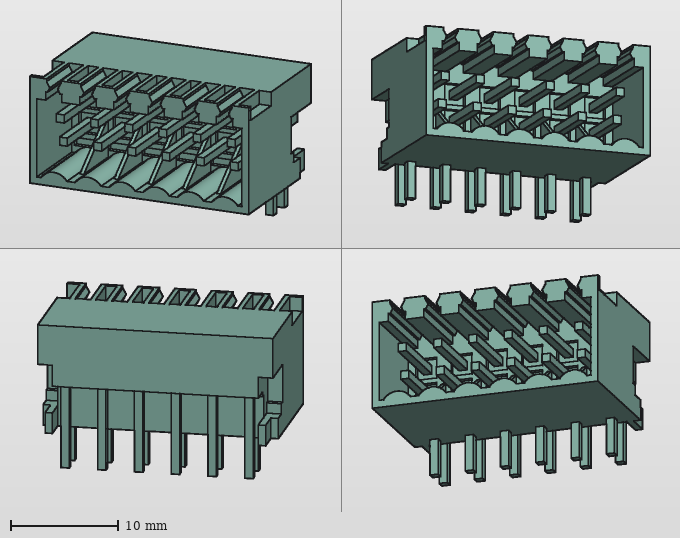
import cadquery as cq


pole_count = 6
pitch = 3.5
housing_length = 22.4
housing_depth = 14.2
housing_height = 10.5
first_pole_x = (housing_length - (pole_count - 1) * pitch) / 2
pole_positions = [first_pole_x + i * pitch for i in range(pole_count)]
gap_positions = [x + pitch / 2 for x in pole_positions[:-1]]

wall = 0.7
cavity_depth = 8.0
cavity_ceiling = housing_height - 2.1

keyway_depth = 5.1
keyway_mouth_half_width = 0.73
keyway_mouth_bottom = housing_height - 0.25
keyway_neck_half_width = 0.4
keyway_neck_z = housing_height - 0.85
keyway_flare_half_width = 0.64
keyway_step_half_width = 0.84
keyway_step_z = housing_height - 1.3

pocket_front = 0.5
pocket_depth = 1.35
pocket_width = 1.05
end_pocket_width = 1.2

bump_width = 2.7
bump_height = 0.7

rib_thickness = 0.4
rib_front = 2.5
rib_top = 4.55

recess_depth = 0.5
pin_recess_size = 2.06
slot_recess_width = 3.0
slot_recess_height = 0.8
slot_recess_bottom = wall + bump_height

rear_underside_z = 4.6
rear_step_y = housing_depth - 2.05
rear_step_z = 4.15
rear_wall_y = housing_depth - 2.5
side_cut_width = 2 * wall
side_cut_top = 6.65
side_cut_front = housing_depth - 4.5
side_cut_step_y = housing_depth - 3.95
side_cut_step_z = 3.0
foot_height = 2.0

pin_width = 0.8
pin_tail_length = 3.5
upper_pin_z = 6.25
lower_pin_z = 3.75
upper_pin_tip_y = 1.5
lower_pin_tip_y = 2.2
upper_tail_y = housing_depth - 1.15
lower_tail_y = upper_tail_y - 2.5


def block(x_range, y_range, z_range):
    """Box spanning the given (low, high) ranges."""
    size = [high - low for low, high in (x_range, y_range, z_range)]
    return cq.Workplane("XY").box(*size, centered=False).translate((x_range[0], y_range[0], z_range[0]))


def around(center, width):
    """Range of the given width centred on a position."""
    return (center - width / 2, center + width / 2)


def mirrored_pair(shape):
    """A shape at the low-X end together with its mirror image at the other end."""
    return shape.union(shape.mirror("YZ", (housing_length / 2, 0, 0)))


def extrude_back(profile, depth):
    """Extrude an XZ profile from the front face towards +Y."""
    return profile.close().extrude(-depth)


def make_shell():
    """Housing outline with its stepped rear underside and the open mating cavity."""
    shell = (
        cq.Workplane("YZ")
        .polyline([
            (0, 0),
            (rear_wall_y, 0),
            (rear_wall_y, rear_step_z),
            (rear_step_y, rear_step_z),
            (rear_step_y, rear_underside_z),
            (housing_depth, rear_underside_z),
            (housing_depth, housing_height),
            (0, housing_height),
        ])
        .close()
        .extrude(housing_length)
    )
    cavity = block((wall, housing_length - wall), (0, cavity_depth), (wall, cavity_ceiling))
    return shell.cut(cavity)


def make_keyway(x):
    """V-shaped roof slot above a deeper, flared slot that opens into the cavity."""
    mouth = cq.Workplane("XZ").polyline([
        (x - keyway_neck_half_width, keyway_neck_z),
        (x - keyway_mouth_half_width, keyway_mouth_bottom),
        (x - keyway_mouth_half_width, housing_height),
        (x + keyway_mouth_half_width, housing_height),
        (x + keyway_mouth_half_width, keyway_mouth_bottom),
        (x + keyway_neck_half_width, keyway_neck_z),
    ])
    flare = cq.Workplane("XZ").polyline([
        (x - keyway_neck_half_width, keyway_neck_z),
        (x - keyway_flare_half_width, keyway_step_z),
        (x - keyway_step_half_width, keyway_step_z),
        (x - keyway_step_half_width, cavity_ceiling),
        (x + keyway_step_half_width, cavity_ceiling),
        (x + keyway_step_half_width, keyway_step_z),
        (x + keyway_flare_half_width, keyway_step_z),
        (x + keyway_neck_half_width, keyway_neck_z),
    ])
    return extrude_back(mouth, keyway_depth).union(extrude_back(flare, cavity_depth))


def make_pockets():
    """Closed roof pockets between the poles and an open one at each end."""
    y_range = (pocket_front, keyway_depth)
    z_range = (housing_height - pocket_depth, housing_height)
    pockets = mirrored_pair(block((0, end_pocket_width), y_range, z_range))
    for x in gap_positions:
        pockets = pockets.union(block(around(x, pocket_width), y_range, z_range))
    return pockets


def make_back_wall_recesses(x):
    """Square recess around each of the two pins and a flat slot below them."""
    y_range = (cavity_depth, cavity_depth + recess_depth)
    slot_z = (slot_recess_bottom, slot_recess_bottom + slot_recess_height)
    recesses = block(around(x, slot_recess_width), y_range, slot_z)
    for z in (lower_pin_z, upper_pin_z):
        recesses = recesses.union(block(around(x, pin_recess_size), y_range, around(z, pin_recess_size)))
    return recesses


def make_bump(x):
    """Rounded bump along the cavity floor."""
    profile = (
        cq.Workplane("XZ")
        .moveTo(x - bump_width / 2, wall)
        .threePointArc((x, wall + bump_height), (x + bump_width / 2, wall))
    )
    return extrude_back(profile, cavity_depth)


def make_rib(x):
    """Triangular rib whose ramp rises from the cavity floor to its back wall."""
    return (
        cq.Workplane("YZ", origin=(x - rib_thickness / 2, 0, 0))
        .polyline([
            (rib_front, wall),
            (cavity_depth, rib_top),
            (cavity_depth, wall),
        ])
        .close()
        .extrude(rib_thickness)
    )


def make_side_cuts():
    """Stepped cut-outs at the rear of both end faces."""
    cut = (
        cq.Workplane("YZ")
        .polyline([
            (housing_depth, side_cut_top),
            (side_cut_front, side_cut_top),
            (side_cut_front, side_cut_step_z),
            (side_cut_step_y, side_cut_step_z),
            (side_cut_step_y, foot_height),
            (housing_depth, foot_height),
        ])
        .close()
        .extrude(side_cut_width)
    )
    return mirrored_pair(cut)


def make_feet():
    """Foot projecting rearwards near each end."""
    return mirrored_pair(block((wall, side_cut_width), (rear_wall_y, housing_depth), (0, foot_height)))


def make_pin(x, z, tip_y, tail_y):
    """Square right-angle pin: horizontal contact and vertical solder tail."""
    x_range = around(x, pin_width)
    tail_range = around(tail_y, pin_width)
    contact = block(x_range, (tip_y, tail_range[1]), around(z, pin_width))
    tail = block(x_range, tail_range, (-pin_tail_length, z))
    return contact.union(tail)


result = make_shell().cut(make_pockets()).cut(make_side_cuts()).union(make_feet())
for pole_x in pole_positions:
    result = result.cut(make_keyway(pole_x)).cut(make_back_wall_recesses(pole_x))
    result = result.union(make_bump(pole_x))
    result = result.union(make_pin(pole_x, upper_pin_z, upper_pin_tip_y, upper_tail_y))
    result = result.union(make_pin(pole_x, lower_pin_z, lower_pin_tip_y, lower_tail_y))
for gap_x in gap_positions:
    result = result.union(make_rib(gap_x))